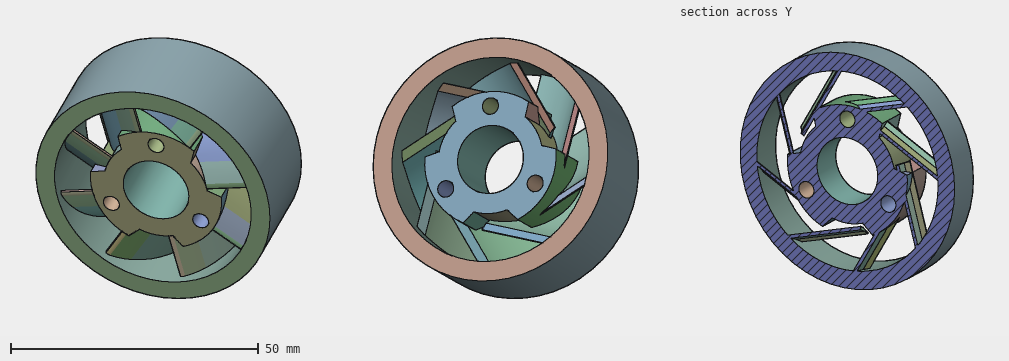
import cadquery as cq
import math

width = 20.0
rim_outer_radius = 25.0
rim_inner_radius = 21.0
bore_radius = 7.0

lobe_count = 3
lobe_radius = 14.0
notch_radius = 11.15
lobe_tip_half_angle = 35.5
lobe_root_half_angle = 41.6
bolt_circle_radius = 11.0
bolt_hole_radius = 1.7
top_lobe_angle = 90.0
lobe_pitch = 360.0 / lobe_count
lobe_angles = [top_lobe_angle + i * lobe_pitch for i in range(lobe_count)]
hub_recess = 2.0

blade_count = 8
first_blade_angle = 15.0
rim_overlap = 0.5
hub_overlap = 0.5

nose_tip = (-0.25, -7.95)
nose_round = (0.3, -7.95)
nose_shoulder = (0.8, -7.85)
nose_mid = (2.8, -6.95)
blade_knee = (4.85, -5.8)
blade_mid = (8.75, -2.75)
tail_shoulder = (13.0, 3.5)
tail_tip = (13.85, 4.35)

tail_back = (13.75, 4.7)
back_shoulder = (12.1, 3.2)
back_mid = (8.0, -2.4)
nose_back = (-0.4, -7.55)


def polar(radius, angle):
    """Point at a radius and an angle in degrees."""
    return radius * math.cos(math.radians(angle)), radius * math.sin(math.radians(angle))


def front_plane():
    """Sketch plane on the -Y face, facing out, with X right and Z up."""
    return cq.Workplane("XZ", origin=(0, -width / 2, 0))


def disc(radius):
    return front_plane().circle(radius).extrude(-width)


def make_rim():
    return disc(rim_outer_radius).cut(disc(rim_inner_radius))


def make_hub():
    """Disc with three wide lobes, separated by shallow notches with tapered walls."""
    outline = front_plane().moveTo(*polar(notch_radius, top_lobe_angle - lobe_root_half_angle))
    for angle in lobe_angles:
        next_root = angle + lobe_pitch - lobe_root_half_angle
        outline = (
            outline.lineTo(*polar(lobe_radius, angle - lobe_tip_half_angle))
            .threePointArc(polar(lobe_radius, angle), polar(lobe_radius, angle + lobe_tip_half_angle))
            .lineTo(*polar(notch_radius, angle + lobe_root_half_angle))
            .threePointArc(polar(notch_radius, angle + lobe_pitch / 2), polar(notch_radius, next_root))
        )
    hub = outline.close().extrude(-width)

    recess = front_plane().circle(rim_inner_radius).extrude(-hub_recess)
    return hub.cut(recess)


def make_bolt_holes():
    bolt_points = [polar(bolt_circle_radius, angle) for angle in lobe_angles]
    return front_plane().pushPoints(bolt_points).circle(bolt_hole_radius).extrude(-width)


def make_blade():
    """One blade with its spoke along +X; the section lies in the plane of Z and Y."""
    section_plane = cq.Plane(origin=(0, 0, 0), xDir=(0, 0, 1), normal=(-1, 0, 0))
    return (
        cq.Workplane(section_plane)
        .moveTo(*nose_tip)
        .threePointArc(nose_round, nose_shoulder)
        .threePointArc(nose_mid, blade_knee)
        .threePointArc(blade_mid, tail_shoulder)
        .lineTo(*tail_tip)
        .lineTo(*tail_back)
        .lineTo(*back_shoulder)
        .threePointArc(back_mid, nose_back)
        .close()
        .extrude(-(rim_inner_radius + rim_overlap))
    )


result = make_rim().union(make_hub())
blade_limit = disc(rim_inner_radius + rim_overlap).cut(disc(notch_radius - hub_overlap))
blade = make_blade().intersect(blade_limit)
for i in range(blade_count):
    spoke_angle = first_blade_angle + i * 360.0 / blade_count
    result = result.union(blade.rotate((0, 0, 0), (0, 1, 0), -spoke_angle))
result = result.cut(disc(bore_radius))
result = result.cut(make_bolt_holes())